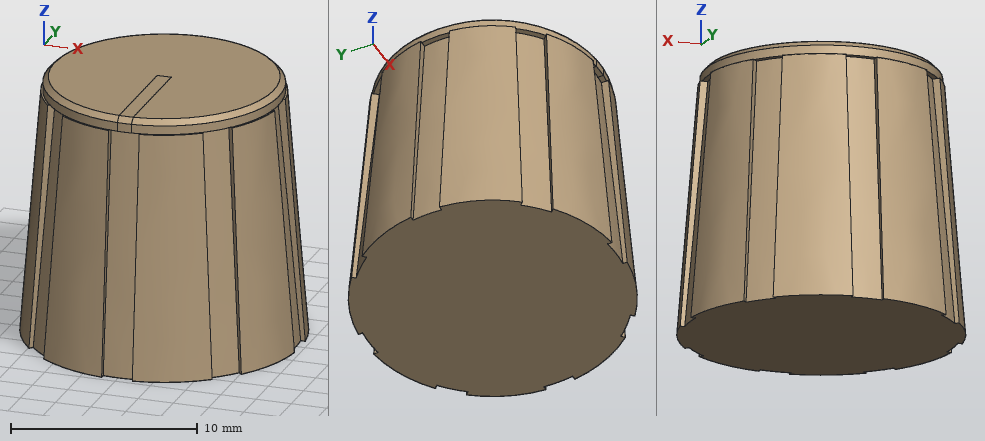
import cadquery as cq

total_height = 14.6
cap_thickness = 0.8
skirt_height = total_height - cap_thickness

rib_bottom_radius = 7.755
rib_top_radius = 6.63
floor_bottom_radius = 7.5
floor_top_radius = 6.2
groove_width = 1.74
groove_angles = [0, 45, 90, 137, 180, 226.3, 270, 315]

cap_radius = 6.52
cap_edge_chamfer = 0.3
pointer_width = 0.8


def cone(bottom_radius, top_radius):
    """Truncated cone over the full height of the skirt."""
    return cq.Workplane("XY").add(cq.Solid.makeCone(bottom_radius, top_radius, skirt_height))


def groove_slab(angle):
    """Radial slab with parallel sides, reaching from the axis past the ribs."""
    reach = 2 * rib_bottom_radius
    return (
        cq.Workplane("XY")
        .box(reach, groove_width, skirt_height, centered=(False, True, False))
        .rotate((0, 0, 0), (0, 0, 1), angle)
    )


def make_skirt():
    """Tapered grip with eight grooves whose floors follow a more strongly tapered inner cone."""
    ribs = cone(rib_bottom_radius, rib_top_radius)
    for angle in groove_angles:
        ribs = ribs.cut(groove_slab(angle))
    return ribs.union(cone(floor_bottom_radius, floor_top_radius))


def make_cap_blank():
    """Full disc with a chamfered top rim."""
    return (
        cq.Workplane("XY")
        .workplane(offset=skirt_height)
        .circle(cap_radius)
        .extrude(cap_thickness)
        .faces(">Z")
        .edges()
        .chamfer(cap_edge_chamfer)
    )


def make_pointer_bar():
    """Bar from the axis out past the -Y rim, through the cap thickness."""
    bar_length = 2 * cap_radius
    return (
        cq.Workplane("XY")
        .workplane(offset=skirt_height)
        .center(0, -bar_length / 2)
        .rect(pointer_width, bar_length)
        .extrude(cap_thickness)
    )


skirt = make_skirt().solids()
cap = make_cap_blank().cut(make_pointer_bar()).solids()
pointer = make_cap_blank().intersect(make_pointer_bar()).solids()

result = cq.Compound.makeCompound([skirt.val(), cap.val(), pointer.val()])